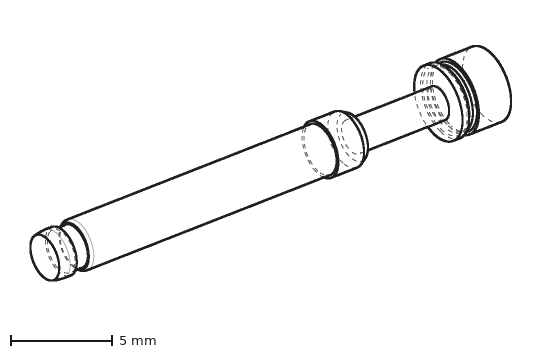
import cadquery as cq

head_diameter = 4.0
head_groove_diameter = 3.52
rod_diameter = 1.8
collar_diameter = 3.0
collar_face_diameter = 2.57
barrel_diameter = 2.7
barrel_end_diameter = 2.45
neck_diameter = 2.3
tip_diameter = 2.6
tip_end_diameter = 2.4

overall_length = 27.3
tip_length = 1.0
tip_rounding_length = 0.6
neck_length = 0.8
barrel_length = 15.2
barrel_rounding_length = 0.22
collar_length = 2.0
collar_chamfer_length = 0.4
flange_length = 0.4
head_groove_length = 0.6
cap_length = 2.0

groove_shoulder_length = 0.2
groove_shoulder_rise = 0.08

barrel_start = tip_length + neck_length
collar_start = barrel_start + barrel_length
collar_end = collar_start + collar_length
cap_start = overall_length - cap_length
head_groove_start = cap_start - head_groove_length
flange_start = head_groove_start - flange_length


def cylinder(diameter, start, end):
    """Solid cylinder on the Y axis between two stations."""
    disc = cq.Workplane("XZ", origin=(0, start, 0)).circle(diameter / 2)
    return disc.extrude(start - end)


def revolve_about_axis(profile):
    """Full turn of a closed XY half-profile about the Y axis."""
    return profile.close().revolve(360, (0, 0), (0, 1))


def round_ended_cylinder(diameter, end_diameter, start, end, rounding_length):
    """Cylinder whose side curves inward, from a tangent start, to a smaller face at its -Y end."""
    profile = (
        cq.Workplane("XY")
        .moveTo(0, end)
        .lineTo(diameter / 2, end)
        .lineTo(diameter / 2, start + rounding_length)
        .tangentArcPoint((end_diameter / 2, start), relative=False)
        .lineTo(0, start)
    )
    return revolve_about_axis(profile)


def make_collar():
    """Collar with a long chamfer on the side where the rod emerges."""
    collar = [
        (0, collar_start),
        (collar_diameter / 2, collar_start),
        (collar_diameter / 2, collar_end - collar_chamfer_length),
        (collar_face_diameter / 2, collar_end),
        (0, collar_end),
    ]
    return revolve_about_axis(cq.Workplane("XY").polyline(collar))


def make_head():
    """Flange and cap joined by a groove core that widens towards both walls."""
    floor_radius = head_groove_diameter / 2
    wall_radius = floor_radius + groove_shoulder_rise
    core = [
        (0, head_groove_start),
        (wall_radius, head_groove_start),
        (floor_radius, head_groove_start + groove_shoulder_length),
        (floor_radius, cap_start - groove_shoulder_length),
        (wall_radius, cap_start),
        (0, cap_start),
    ]
    groove_core = revolve_about_axis(cq.Workplane("XY").polyline(core))
    flange = cylinder(head_diameter, flange_start, head_groove_start)
    cap = cylinder(head_diameter, cap_start, overall_length)
    return flange.union(groove_core).union(cap)


tip = round_ended_cylinder(tip_diameter, tip_end_diameter, 0, tip_length, tip_rounding_length)
neck = cylinder(neck_diameter, tip_length, barrel_start)
barrel = round_ended_cylinder(
    barrel_diameter, barrel_end_diameter, barrel_start, collar_start, barrel_rounding_length
)
rod = cylinder(rod_diameter, collar_end, flange_start)

pin = tip.union(neck).union(barrel).union(make_collar()).union(rod).union(make_head())
result = pin.translate((0, -overall_length / 2, 0))